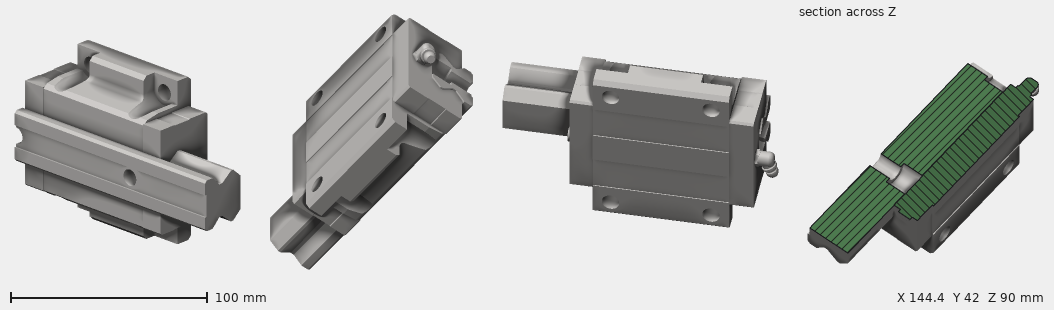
import cadquery as cq
import math


rail_height = 26.0
rail_half_width = 14.0
rail_start = -48.7
rail_length = 133.7
rail_base_chamfer = 1.4
rail_foot_height = 5.6
rail_waist_low = 10.6
rail_waist_high = 12.7
rail_waist_half_width = 9.0
rail_head_low = 19.2
rail_head_high = 20.8
rail_top_half_width = 9.4
rail_slot_half_width = 6.1
rail_slot_depth = 1.0
rail_hole_pitch = 80.0
rail_hole_diameter = 9.0
rail_counterbore_diameter = 14.2
rail_counterbore_depth = 12.0
rail_hole_count = 2

carriage_top = 42.0
block_length = 70.4
block_bottom = 7.0
flange_half_width = 45.0
flange_bottom = 24.0
flange_chamfer = 2.2
draft_start_half_width = 30.2
draft_start_height = 9.6
draft_angle = 9.8
flange_fillet = 3.0
block_chamfer_half_width = 28.0
top_relief_inner = 8.2
top_relief_outer = 26.1
top_relief_depth = 0.5

hole_pitch_x = 52.0
hole_pitch_z = 72.0
mount_hole_diameter = 9.0
pocket_diameter = 14.2
pocket_ceiling = 32.0
pocket_wall_z = 31.6

cap_half_width = 28.9
cap_top = 41.1
cap_bottom = 6.6
cap_lower_chamfer = 0.9
cap_chamfer = 1.1
cap_left_thickness = 12.6
cap_right_thickness = 12.2
cap_groove_low = 17.1
cap_groove_high = 27.8
cap_groove_depth = 0.35
cap_groove_slope = 0.4

port_height = 33.9
plug_diameter = 8.0
plug_length = 1.8
plug_fillet = 0.4
hex_across_flats = 8.0
hex_thickness = 1.6
shoulder_diameter = 8.0
shoulder_thickness = 0.5
elbow_diameter = 7.85
elbow_length = 7.8
elbow_nose_diameter = 3.1
nipple_tilt = 22.5
nipple_offset = 5.02
stem_radius = 3.4
collar_radius = 4.0
collar_start = 3.9
collar_end = 5.9
collar_chamfer = 0.4
neck_radius = 2.75
neck_end = 7.2
head_radius = 3.3
head_edge_radius = 3.2
head_start = 7.7
head_bulge = 8.6
tip_bend = 10.2
tip_bend_radius = 2.8
tip_end = 11.15
tip_radius = 2.1

block_end = block_length / 2
left_face = -block_end - cap_left_thickness
right_face = block_end + cap_right_thickness


def mirrored_section(half_outline):
    """Close a (Y, Z) half outline with its mirror image across Z = 0."""
    other_half = [(y, -z) for y, z in reversed(half_outline)]
    return half_outline + other_half


def extrude_along_x(outline, x_start, length):
    return cq.Workplane("YZ", origin=(x_start, 0, 0)).polyline(outline).close().extrude(length)


def box_between(x_range, y_range, z_range):
    (x0, x1), (y0, y1), (z0, z1) = x_range, y_range, z_range
    return cq.Workplane().box(x1 - x0, y1 - y0, z1 - z0, centered=False).translate((x0, y0, z0))


def cylinder_along_y(x, z, diameter, y_start, y_end):
    base = cq.Workplane(cq.Plane(origin=(x, y_start, z), xDir=(1, 0, 0), normal=(0, 1, 0)))
    return base.circle(diameter / 2).extrude(y_end - y_start)


rail_upper_outline = [
    (rail_foot_height, rail_half_width),
    (rail_waist_low, rail_waist_half_width),
    (rail_waist_high, rail_waist_half_width),
    (rail_head_low, rail_half_width),
    (rail_head_high, rail_half_width),
    (rail_height, rail_top_half_width),
]


def build_rail():
    half_outline = [
        (rail_slot_depth, rail_slot_half_width),
        (0, rail_slot_half_width),
        (0, rail_half_width - rail_base_chamfer),
        (rail_base_chamfer, rail_half_width),
    ] + rail_upper_outline
    rail = extrude_along_x(mirrored_section(half_outline), rail_start, rail_length)
    counterbore_floor = rail_height - rail_counterbore_depth
    for index in range(rail_hole_count):
        x = rail_start + index * rail_hole_pitch
        rail = rail.cut(cylinder_along_y(x, 0, rail_hole_diameter, 0, rail_height))
        rail = rail.cut(
            cylinder_along_y(x, 0, rail_counterbore_diameter, counterbore_floor, rail_height)
        )
    return rail


def build_block():
    draft_rise = flange_bottom - draft_start_height
    flange_root = draft_start_half_width + draft_rise * math.tan(math.radians(draft_angle))
    half_outline = [
        (block_bottom, block_chamfer_half_width),
        (draft_start_height, draft_start_half_width),
        (flange_bottom, flange_root),
        (flange_bottom, flange_half_width - flange_chamfer),
        (flange_bottom + flange_chamfer, flange_half_width),
        (carriage_top - flange_chamfer, flange_half_width),
        (carriage_top, flange_half_width - flange_chamfer),
        (carriage_top, top_relief_outer),
        (carriage_top - top_relief_depth, top_relief_outer),
        (carriage_top - top_relief_depth, top_relief_inner),
        (carriage_top, top_relief_inner),
    ]
    block = extrude_along_x(mirrored_section(half_outline), -block_end, block_length)
    for side in (-1, 1):
        root_edge = cq.selectors.NearestToPointSelector((0, flange_bottom, side * flange_root))
        block = block.edges("|X").edges(root_edge).fillet(flange_fillet)
    return block


def mounting_pocket(x_side, z_side):
    """Bolt hole in a flange corner and the open pocket below it."""
    hole_x = hole_pitch_x / 2
    hole_z = hole_pitch_z / 2
    depth = (0, pocket_ceiling)
    pocket = cylinder_along_y(hole_x, hole_z, pocket_diameter, *depth)
    outer = box_between((hole_x, block_end), depth, (pocket_wall_z, flange_half_width))
    inner = box_between((hole_x - pocket_diameter / 2, hole_x), depth, (hole_z, flange_half_width))
    bolt_hole = cylinder_along_y(hole_x, hole_z, mount_hole_diameter, 0, carriage_top)
    cutter = pocket.union(outer).union(inner).union(bolt_hole)
    if x_side < 0:
        cutter = cutter.mirror("YZ")
    if z_side < 0:
        cutter = cutter.mirror("XY")
    return cutter


def build_cap(x_start, thickness):
    groove_half_width = cap_half_width - cap_groove_depth
    half_outline = [
        (cap_bottom, cap_half_width),
        (cap_groove_low - cap_groove_slope, cap_half_width),
        (cap_groove_low, groove_half_width),
        (cap_groove_high, groove_half_width),
        (cap_groove_high + cap_groove_slope, cap_half_width),
        (cap_top - cap_chamfer, cap_half_width),
        (cap_top, cap_half_width - cap_chamfer),
    ]
    cap = extrude_along_x(mirrored_section(half_outline), x_start, thickness)
    edge_point = (x_start + thickness / 2, cap_bottom, -cap_half_width)
    lower_edge = cq.selectors.NearestToPointSelector(edge_point)
    return cap.edges("|X").edges(lower_edge).chamfer(cap_lower_chamfer)


def build_plug():
    base = cq.Workplane("YZ", origin=(right_face, port_height, 0))
    return base.circle(plug_diameter / 2).extrude(plug_length).faces(">X").edges().fillet(plug_fillet)


def build_grease_fitting():
    """Hexagon base, round shoulder, straight elbow with a rounded nose, and a tilted nipple."""
    base = cq.Workplane("YZ", origin=(left_face, port_height, 0))
    hexagon = base.polygon(6, hex_across_flats / math.cos(math.pi / 6)).extrude(-hex_thickness)
    nose_radius = (elbow_diameter - elbow_nose_diameter) / 2
    shoulder_plane = base.workplane(offset=-hex_thickness)
    shoulder = shoulder_plane.circle(shoulder_diameter / 2).extrude(-shoulder_thickness)
    elbow_end = hex_thickness + elbow_length
    elbow = base.circle(elbow_diameter / 2).extrude(-elbow_end).faces("<X").edges().fillet(nose_radius)

    tilt = math.radians(nipple_tilt)
    axis_down = (-math.sin(tilt), 0, -math.cos(tilt))
    radial = (-math.cos(tilt), 0, math.sin(tilt))
    turning_plane = cq.Plane(
        origin=(left_face - nipple_offset, port_height, 0),
        xDir=radial,
        normal=cq.Vector(*radial).cross(cq.Vector(*axis_down)).toTuple(),
    )
    collar_edge = collar_radius - collar_chamfer
    nipple = (
        cq.Workplane(turning_plane)
        .polyline([
            (0, 0),
            (stem_radius, 0),
            (stem_radius, collar_start),
            (collar_edge, collar_start),
            (collar_radius, collar_start + collar_chamfer),
            (collar_radius, collar_end - collar_chamfer),
            (collar_edge, collar_end),
            (neck_radius, collar_end),
            (neck_radius, neck_end),
            (head_edge_radius, head_start),
        ])
        .threePointArc((head_radius, head_bulge), (tip_bend_radius, tip_bend))
        .lineTo(tip_radius, tip_end)
        .lineTo(0, tip_end)
        .close()
        .revolve(360, (0, 0, 0), (0, 1, 0))
    )
    return hexagon.union(shoulder).union(elbow).union(nipple)


def build_carriage():
    carriage = build_block()
    for x_side in (-1, 1):
        for z_side in (-1, 1):
            carriage = carriage.cut(mounting_pocket(x_side, z_side))
    carriage = carriage.union(build_cap(left_face, cap_left_thickness))
    carriage = carriage.union(build_cap(block_end, cap_right_thickness))
    channel = mirrored_section(rail_upper_outline)
    carriage = carriage.cut(extrude_along_x(channel, left_face, right_face - left_face))
    return carriage.union(build_plug()).union(build_grease_fitting())


rail = build_rail()
carriage = build_carriage()

result = cq.Compound.makeCompound([rail.val(), *carriage.vals()])